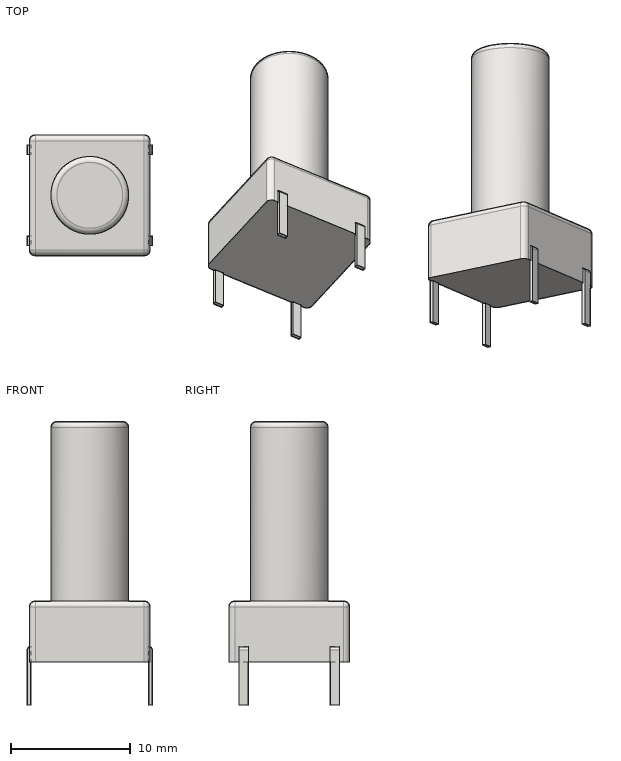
import cadquery as cq
import math

housing_side = 10.1
housing_height = 5.1
housing_edge_radius = 0.5

button_diameter = 6.5
button_height = 15.0
button_edge_radius = 0.5

pin_span = 10.46
pin_thickness = 0.3
pin_width = 0.8
pin_pitch = 7.62
pin_drop = 3.6
pin_straight_rise = 1.0
pin_outer_x = pin_span / 2
pin_inner_x = pin_outer_x - pin_thickness


def make_pin(side, y_centre):
    """One upright pin on the +X (side = 1) or -X (side = -1) face, its top rounded inward."""
    round_x = pin_inner_x + pin_thickness * math.cos(math.pi / 4)
    round_z = pin_straight_rise + pin_thickness * math.sin(math.pi / 4)
    top_z = pin_straight_rise + pin_thickness
    return (
        cq.Workplane("XZ", origin=(0, y_centre, 0))
        .moveTo(side * pin_inner_x, -pin_drop)
        .lineTo(side * pin_outer_x, -pin_drop)
        .lineTo(side * pin_outer_x, pin_straight_rise)
        .threePointArc((side * round_x, round_z), (side * pin_inner_x, top_z))
        .close()
        .extrude(pin_width / 2, both=True)
    )


def make_housing(pins):
    """The block with rounded top and upright edges, and a matching recess for each pin."""
    block = (
        cq.Workplane("XY")
        .box(housing_side, housing_side, housing_height, centered=(True, True, False))
        .edges("|Z or >Z")
        .fillet(housing_edge_radius)
    )
    for pin in pins:
        block = block.cut(pin)
    return block


def make_button():
    """The post, rounded around its top edge."""
    return (
        cq.Workplane("XY", origin=(0, 0, housing_height))
        .circle(button_diameter / 2)
        .extrude(button_height)
        .faces(">Z")
        .edges()
        .fillet(button_edge_radius)
    )


pins = []
for side in (-1, 1):
    for row in (-1, 1):
        pins.append(make_pin(side, row * pin_pitch / 2))

housing = make_housing(pins)
button = make_button()

result = cq.Compound.makeCompound([housing.val(), button.val(), *[pin.val() for pin in pins]])